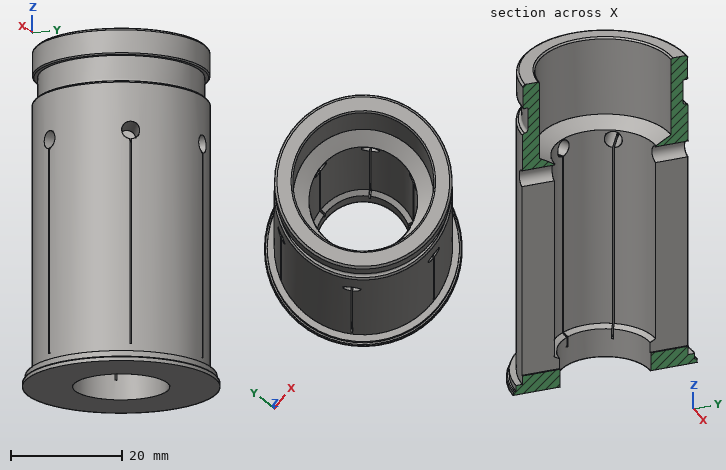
import cadquery as cq
import math

total_height = 62.5
lip_radius = 35.5 / 2
lip_height = 0.9
lip_chamfer = 0.2
flange_radius = 34.5 / 2
flange_top = 2.0
body_radius = 32.0 / 2
body_top = 52.7
body_chamfer = 0.4
groove_radius = 30.0 / 2
groove_fillet = 0.5
collar_radius = 31.9 / 2
collar_bottom = 57.55
collar_top_chamfer = 0.45
collar_bottom_chamfer = 0.25

mouth_radius = 25.3 / 2
mouth_chamfer = 0.3
mouth_floor = 47.0
middle_radius = 19.5 / 2
lower_radius = 17.45 / 2
lower_cone_top = 6.25
cone_slope = 30.0

slot_count = 6
relief_hole_radius = 3.25 / 2
relief_hole_height = 43.45
slot_width = 0.3
slot_bottom = 3.7


def make_outer_body():
    profile = (
        cq.Workplane("XZ")
        .lineTo(lip_radius, 0)
        .lineTo(lip_radius, lip_height - lip_chamfer)
        .lineTo(lip_radius - lip_chamfer, lip_height)
        .lineTo(flange_radius, lip_height)
        .lineTo(flange_radius, flange_top)
        .lineTo(body_radius, flange_top)
        .lineTo(body_radius, body_top - body_chamfer)
        .lineTo(body_radius - body_chamfer, body_top)
        .lineTo(groove_radius + groove_fillet, body_top)
        .radiusArc((groove_radius, body_top + groove_fillet), groove_fillet)
        .lineTo(groove_radius, collar_bottom)
        .lineTo(collar_radius - collar_bottom_chamfer, collar_bottom)
        .lineTo(collar_radius, collar_bottom + collar_bottom_chamfer)
        .lineTo(collar_radius, total_height - collar_top_chamfer)
        .lineTo(collar_radius - collar_top_chamfer, total_height)
        .lineTo(0, total_height)
        .close()
    )
    return profile.revolve(360, (0, 0, 0), (0, 1, 0))


def make_bore():
    slope = math.tan(math.radians(cone_slope))
    upper_cone_bottom = mouth_floor - (mouth_radius - middle_radius) * slope
    lower_cone_bottom = lower_cone_top - (middle_radius - lower_radius) * slope
    profile = (
        cq.Workplane("XZ")
        .lineTo(lower_radius, 0)
        .lineTo(lower_radius, lower_cone_bottom)
        .lineTo(middle_radius, lower_cone_top)
        .lineTo(middle_radius, upper_cone_bottom)
        .lineTo(mouth_radius, mouth_floor)
        .lineTo(mouth_radius, total_height - mouth_chamfer)
        .lineTo(mouth_radius + mouth_chamfer, total_height)
        .lineTo(0, total_height)
        .close()
    )
    return profile.revolve(360, (0, 0, 0), (0, 1, 0))


def make_slot_cutter():
    hole = (
        cq.Workplane("XZ")
        .center(0, relief_hole_height)
        .circle(relief_hole_radius)
        .extrude(lip_radius)
    )
    slot = cq.Workplane("XY").box(
        slot_width,
        lip_radius,
        relief_hole_height - slot_bottom,
        centered=(True, False, False),
    )
    return hole.union(slot.translate((0, -lip_radius, slot_bottom)))


result = make_outer_body().cut(make_bore())
slot_cutter = make_slot_cutter()
for index in range(slot_count):
    angle = index * 360 / slot_count
    result = result.cut(slot_cutter.rotate((0, 0, 0), (0, 0, 1), angle))